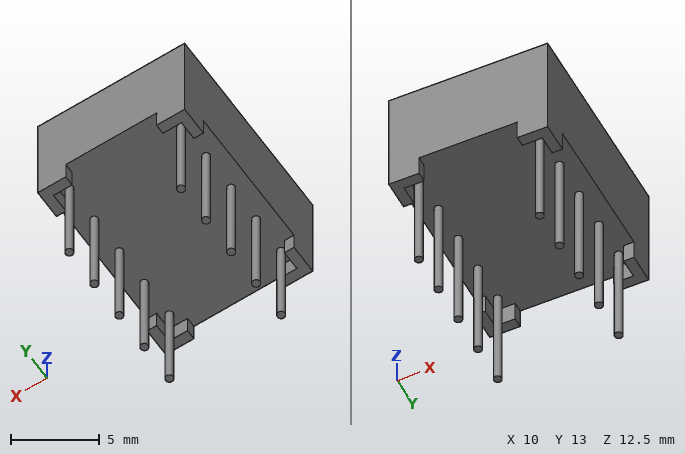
import cadquery as cq

width = 10.0
length = 13.0
total_height = 12.53

pin_drop = 5.5
foot_height = 1.3
foot_side = 1.91
foot_wall = 0.65

pin_diameter = 0.51
pin_pitch = 2.54
row_spacing = 3 * pin_pitch
pins_per_row = 5

foot_bottom = pin_drop
body_bottom = foot_bottom + foot_height
body_height = total_height - body_bottom


def make_body():
    return (
        cq.Workplane("XY")
        .workplane(offset=body_bottom)
        .rect(width, length)
        .extrude(body_height)
    )


def make_feet():
    blocks = (
        cq.Workplane("XY")
        .workplane(offset=foot_bottom)
        .rect(width - foot_side, length - foot_side, forConstruction=True)
        .vertices()
        .rect(foot_side, foot_side)
        .extrude(foot_height)
    )
    hollow = (
        cq.Workplane("XY")
        .workplane(offset=foot_bottom)
        .rect(width - 2 * foot_wall, length - 2 * foot_wall)
        .extrude(foot_height)
    )
    return blocks.cut(hollow)


def make_pins():
    return (
        cq.Workplane("XY")
        .rarray(row_spacing, pin_pitch, 2, pins_per_row)
        .circle(pin_diameter / 2)
        .extrude(body_bottom)
    )


result = make_body().union(make_feet()).union(make_pins())